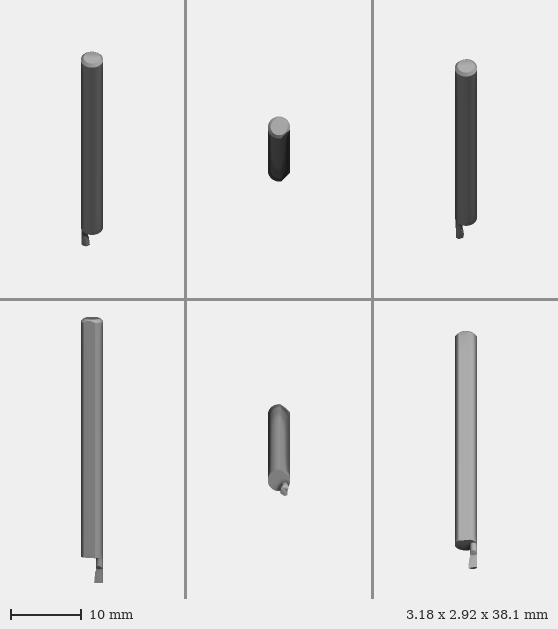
import cadquery as cq

total_length = 38.1
tip_reach = 3.85
shank_diameter = 3.175
shank_radius = shank_diameter / 2
flat_distance = 1.3325
top_chamfer = 0.4

neck_diameter = 0.99
neck_radius = neck_diameter / 2
neck_x = neck_radius - shank_radius
neck_back_y = -neck_radius
neck_bottom = 0.1

relief_top = 2.1

tooth_height = 1.75
tooth_top_x = -0.49
tooth_side_x = -0.32
tip_x = -0.4
nose_height = 0.08
side_clearance = 0.32


def make_shank():
    bar_length = total_length - tip_reach
    bar = cq.Workplane("XY").workplane(offset=tip_reach).circle(shank_radius).extrude(bar_length)
    bar = bar.faces(">Z").chamfer(top_chamfer)
    beyond_flat = (
        cq.Workplane("XY")
        .box(shank_diameter, shank_diameter, total_length, centered=(True, False, False))
        .translate((0, flat_distance, 0))
    )
    return bar.cut(beyond_flat)


def make_neck():
    neck = (
        cq.Workplane("XY")
        .workplane(offset=neck_bottom)
        .center(neck_x, 0)
        .circle(neck_radius)
        .extrude(tip_reach - neck_bottom)
    )
    relief = (
        cq.Workplane("YZ")
        .polyline([
            (0, 0),
            (neck_diameter, 0),
            (neck_diameter, relief_top + neck_diameter),
            (0, relief_top),
        ])
        .close()
        .extrude(shank_diameter, both=True)
    )
    return neck.cut(relief)


def make_tooth():
    rake_outline = [
        (neck_x, neck_bottom),
        (tip_x, 0),
        (tooth_side_x, nose_height),
        (tooth_top_x, tooth_height),
        (neck_x, tooth_height),
    ]
    back_outline = [
        (neck_x, neck_bottom),
        (tip_x - side_clearance, neck_bottom),
        (tooth_side_x - side_clearance, neck_bottom + nose_height),
        (tooth_top_x - side_clearance, tooth_height),
        (neck_x, tooth_height),
    ]
    return (
        cq.Workplane("XZ")
        .polyline(rake_outline)
        .close()
        .workplane(offset=-neck_back_y)
        .polyline(back_outline)
        .close()
        .loft(ruled=True)
    )


result = make_shank().union(make_neck()).union(make_tooth())